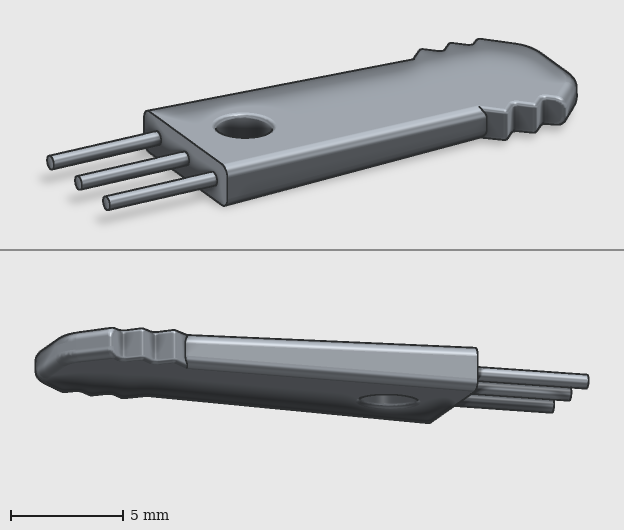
import cadquery as cq
import math


total_length = 24.5
pin_length = 5.5
grip_length = total_length - pin_length

base_thickness = 2.0
head_thickness = 1.35

base_half_width = 3.8
neck_half_width = 3.33

end_half_width = 1.3
shoulder_radius = 2.0
shoulder_angle = math.radians(43.5)
head_half_width = 3.92
tooth_count = 3
tooth_pitch = 1.5

large_round = 0.5
small_round = 0.2

hole_diameter = 2.5
hole_y = 3.0

pin_diameter = 0.64
pin_pitch = 2.55
pin_insertion = 0.5
wire_insertion = 0.98

sharp_half_width = head_half_width + (math.sqrt(2) - 1) * small_round
root_half_width = sharp_half_width - tooth_pitch / 2

shoulder_x = end_half_width + shoulder_radius * math.sin(shoulder_angle)
shoulder_y = grip_length - shoulder_radius * (1 - math.cos(shoulder_angle))
slope_ratio = math.tan(shoulder_angle)
first_tip_y = shoulder_y - (sharp_half_width - shoulder_x) * slope_ratio
last_tip_y = first_tip_y - (tooth_count - 1) * tooth_pitch

flank_end_half_width = base_half_width / 2
flank_end_y = last_tip_y - (sharp_half_width - flank_end_half_width)

tolerance = 0.0002


def prism(outline):
    """Extrude a closed XY outline well past both broad faces of the grip."""
    return outline.extrude(base_thickness, both=True)


def tapered_slab():
    """Wedge with the grip's thickness taper, wider than the grip."""
    return (
        cq.Workplane("YZ")
        .moveTo(0, -base_thickness / 2)
        .lineTo(grip_length, -head_thickness / 2)
        .lineTo(grip_length, head_thickness / 2)
        .lineTo(0, base_thickness / 2)
        .close()
        .extrude(2 * head_half_width, both=True)
    )


def on_broad_face(edge):
    """Whether an edge lies in the upper or lower face of the tapered slab."""
    taper = (base_thickness - head_thickness) / grip_length
    for point in edge.positions([0, 0.5, 1]):
        half_thickness = (base_thickness - taper * point.y) / 2
        if abs(abs(point.z) - half_thickness) > tolerance:
            return False
    return True


def head_blank():
    """Head without teeth, with its end, shoulders and slopes rounded."""
    blank_half_width = sharp_half_width + 2 * large_round
    slope_end_y = shoulder_y - (blank_half_width - shoulder_x) * slope_ratio
    arc_mid_x = end_half_width + shoulder_radius * math.sin(shoulder_angle / 2)
    arc_mid_y = grip_length - shoulder_radius * (1 - math.cos(shoulder_angle / 2))
    outline = (
        cq.Workplane("XY")
        .moveTo(blank_half_width, flank_end_y)
        .lineTo(blank_half_width, slope_end_y)
        .lineTo(shoulder_x, shoulder_y)
        .threePointArc((arc_mid_x, arc_mid_y), (end_half_width, grip_length))
        .lineTo(-end_half_width, grip_length)
        .threePointArc((-arc_mid_x, arc_mid_y), (-shoulder_x, shoulder_y))
        .lineTo(-blank_half_width, slope_end_y)
        .lineTo(-blank_half_width, flank_end_y)
        .close()
    )
    blank = tapered_slab().intersect(prism(outline))
    rim = [
        edge
        for edge in blank.edges().vals()
        if on_broad_face(edge) and edge.Center().y > slope_end_y
    ]
    return blank.newObject(rim).fillet(large_round)


def tooth_zigzag():
    """Points down the +X side, from the end of the grip to inside the neck."""
    points = [(sharp_half_width, grip_length), (sharp_half_width, first_tip_y)]
    for gap in range(tooth_count - 1):
        tip_y = first_tip_y - gap * tooth_pitch
        points.append((root_half_width, tip_y - tooth_pitch / 2))
        points.append((sharp_half_width, tip_y - tooth_pitch))
    points.append((flank_end_half_width, flank_end_y))
    return points


def is_tooth_flank(face):
    """Whether a face is upright and at 45 degrees to X and Y."""
    if face.geomType() != "PLANE":
        return False
    normal = face.normalAt()
    return abs(normal.z) < tolerance and abs(abs(normal.x) - abs(normal.y)) < tolerance


def head():
    """Rounded head with small-rounded grip teeth on both sides."""
    right_side = tooth_zigzag()
    left_side = [(-x, y) for x, y in reversed(right_side)]
    outline = cq.Workplane("XY").polyline(right_side + left_side).close()
    toothed = head_blank().intersect(prism(outline))
    flanks = [face for face in toothed.faces().vals() if is_tooth_flank(face)]
    tooth_edges = [
        edge
        for edge in toothed.newObject(flanks).edges().vals()
        if abs(edge.Center().x) > flank_end_half_width + tolerance
    ]
    return toothed.newObject(tooth_edges).fillet(small_round)


def neck():
    """Tapered neck with rounded long edges and the rounded hole."""
    neck_meeting_y = last_tip_y - (sharp_half_width - neck_half_width)
    narrowing = (base_half_width - neck_half_width) / neck_meeting_y
    top_half_width = base_half_width - narrowing * last_tip_y
    outline = (
        cq.Workplane("XY")
        .moveTo(-base_half_width, 0)
        .lineTo(base_half_width, 0)
        .lineTo(top_half_width, last_tip_y)
        .lineTo(-top_half_width, last_tip_y)
        .close()
    )
    body = tapered_slab().intersect(prism(outline))
    long_edges = [
        edge
        for edge in body.edges().vals()
        if on_broad_face(edge) and tolerance < edge.Center().y < last_tip_y - tolerance
    ]
    body = body.newObject(long_edges).fillet(large_round)

    hole = prism(cq.Workplane("XY").center(0, hole_y).circle(hole_diameter / 2))
    body = body.cut(hole)
    hole_rims = [
        edge
        for edge in body.edges("%ELLIPSE").vals()
        if on_broad_face(edge)
    ]
    return body.newObject(hole_rims).fillet(small_round)


def pin(x, insertion):
    """Round pin along Y that reaches the given depth into the grip."""
    return (
        cq.Workplane("XZ", origin=(x, insertion, 0))
        .circle(pin_diameter / 2)
        .extrude(pin_length + insertion)
    )


def shorting_wire():
    """Two outer legs joined inside the grip by a round crossbar, with mitred corners."""
    return (
        cq.Workplane("XZ", origin=(-pin_pitch, -pin_length, 0))
        .circle(pin_diameter / 2)
        .sweep(
            cq.Workplane("XY").polyline(
                [
                    (-pin_pitch, -pin_length),
                    (-pin_pitch, wire_insertion),
                    (pin_pitch, wire_insertion),
                    (pin_pitch, -pin_length),
                ]
            ),
            transition="right",
        )
    )


middle_pin = pin(0, pin_insertion)
wire = shorting_wire()
grip = head().union(neck()).cut(middle_pin).cut(wire)

result = cq.Compound.makeCompound([grip.solids().val(), middle_pin.val(), wire.val()])